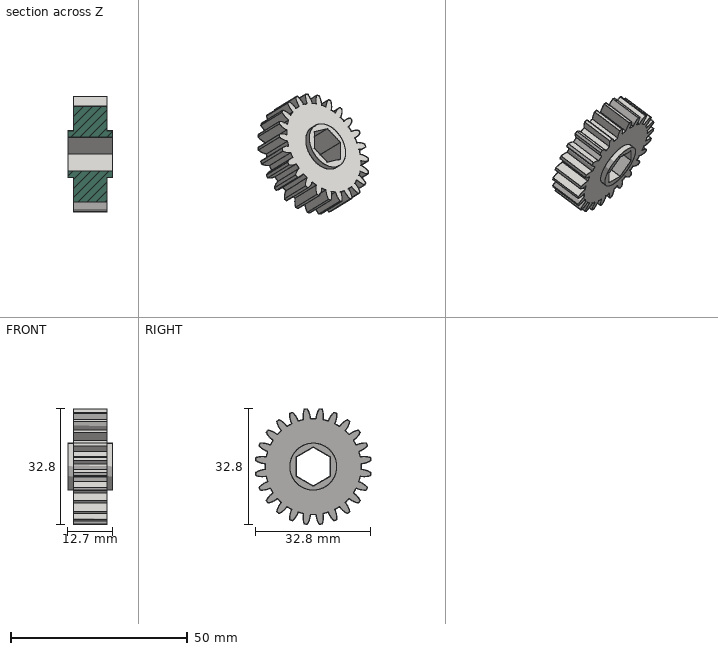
import cadquery as cq
import math

tooth_count = 24
module = 1.27
face_width = 9.525
overall_width = 12.7
hub_diameter = 13.335
hex_sides = 6
hex_across_flats = 9.525

dedendum_factor = 1.25
pitch_radius = module * tooth_count / 2
tip_radius = pitch_radius + module
root_radius = pitch_radius - dedendum_factor * module
tooth_spacing = 360 / tooth_count

root_half_angle = 4.30
pitch_half_angle = 3.36
tip_half_angle = 1.52

hex_across_corners = hex_across_flats / math.cos(math.pi / hex_sides)
hex_turn = 180 / hex_sides


def polar_point(radius, angle):
    """YZ point at a radius and an angle in degrees from the Y axis."""
    radians = math.radians(angle)
    return (radius * math.cos(radians), radius * math.sin(radians))


def gear_outline():
    """Closed gear outline: arc flanks, with tips and roots on concentric arcs."""
    first_center = tooth_spacing / 2
    start = polar_point(root_radius, first_center - root_half_angle)
    outline = cq.Workplane("YZ").moveTo(*start)
    for tooth in range(tooth_count):
        center = first_center + tooth * tooth_spacing
        next_gap = center + tooth_spacing / 2
        next_center = center + tooth_spacing
        outline = outline.threePointArc(
            polar_point(pitch_radius, center - pitch_half_angle),
            polar_point(tip_radius, center - tip_half_angle),
        )
        outline = outline.threePointArc(
            polar_point(tip_radius, center),
            polar_point(tip_radius, center + tip_half_angle),
        )
        outline = outline.threePointArc(
            polar_point(pitch_radius, center + pitch_half_angle),
            polar_point(root_radius, center + root_half_angle),
        )
        outline = outline.threePointArc(
            polar_point(root_radius, next_gap),
            polar_point(root_radius, next_center - root_half_angle),
        )
    return outline.close()


def toothed_body():
    """Gear teeth and web, centred on X = 0."""
    return gear_outline().extrude(face_width / 2, both=True)


def hub():
    """Round hub that stands out equally from both gear faces."""
    return cq.Workplane("YZ").circle(hub_diameter / 2).extrude(overall_width / 2, both=True)


def hex_bore():
    """Hexagonal through bore with two corners on the Z axis."""
    profile = cq.Workplane("YZ").polygon(hex_sides, hex_across_corners)
    bore = profile.extrude(overall_width / 2, both=True)
    return bore.rotate((0, 0, 0), (1, 0, 0), hex_turn)


result = toothed_body().union(hub()).cut(hex_bore())